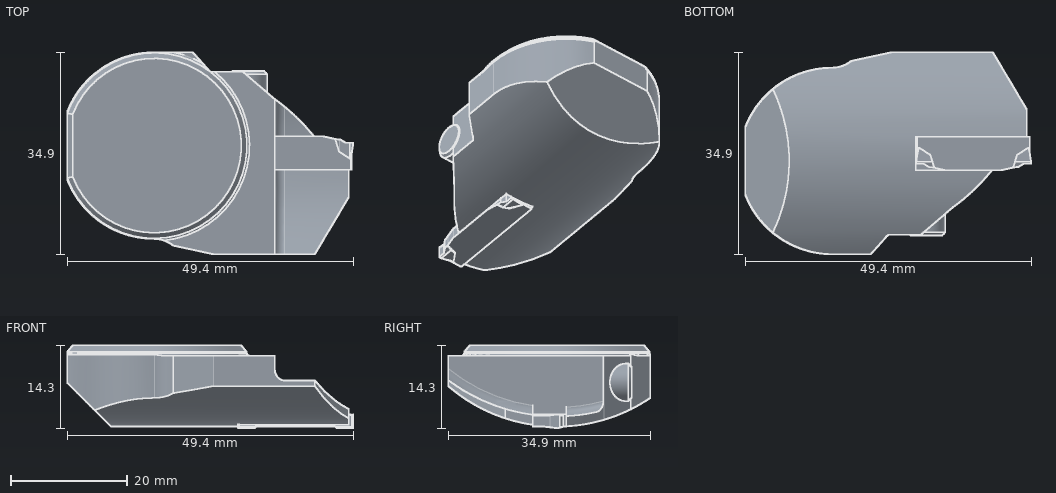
import cadquery as cq
import math


body_radius = 16.1
disc_radius = 16.0
disc_height = 1.8
disc_chamfer_width = 0.97
disc_chamfer_height = 1.15
disc_root_fillet = 0.45
flat_x = -15.0

bottom_z = -12.25
bottom_radius = 28.6
bottom_axis_z = bottom_z + bottom_radius

wing_end_x = 6.65
pad_back_y = 12.75
pad_back_start_x = 9.65
pad_back_end_x = 15.25
relief_start = (20.75, 8.05)
relief_middle = (24.65, 4.8)
relief_end_x = 27.55
nose_x = 33.55
nose_front_y = -8.9
front_y = -18.75
front_start_x = 10.2
front_end_x = 27.7
neck_end = (3.3, -17.25)

slope_angle = 45.0
slope_start_z = -4.65

step_x = 20.8
floor_radius = 31.35
floor_low_z = -10.47
floor_axis_z = floor_low_z + floor_radius
step_fillet = 1.6

boss_radius = 3.25
boss_x = 16.25
boss_z = -4.6
boss_start_y = 5.0
boss_end_y = 12.87
boss_chamfer = 0.55

insert_back_y = 1.63
insert_front_y = -4.2
insert_top_z = -10.13
insert_bottom_z = bottom_z
insert_tip_x = 34.35
insert_tip_y = 0.5
insert_end_x = 34.1
insert_length = 19.9
insert_middle_x = insert_tip_x - insert_length / 2
end_straight_y = -1.2
tooth_root = (32.1, 1.05)
tooth_corner = (33.0, insert_tip_y)
shoulder_end = (31.2, 1.15)
shoulder_start_x = 29.1
tooth_inner = (31.87, -1.05)
tooth_front = (33.85, -2.3)
tooth_ridge_y = 0.1
rake_floor_end_x = 33.75
tooth_rake_depth = 0.2
tooth_drop = 0.28
end_chamfer = 0.25

clearance_past_part = 10.0


def holder_outline():
    """Plan outline of the holder, counterclockwise from the rear end of the flat."""
    flat_half_length = math.sqrt(body_radius**2 - flat_x**2)
    arc_middle = body_radius * math.sqrt(0.5)
    return (
        cq.Workplane("XY")
        .moveTo(flat_x, flat_half_length)
        .lineTo(flat_x, -flat_half_length)
        .threePointArc((-arc_middle, -arc_middle), (0, -body_radius))
        .tangentArcPoint(neck_end, relative=False)
        .lineTo(front_start_x, front_y)
        .lineTo(front_end_x, front_y)
        .lineTo(nose_x, nose_front_y)
        .lineTo(nose_x, insert_back_y)
        .lineTo(relief_end_x, insert_back_y)
        .threePointArc(relief_middle, relief_start)
        .lineTo(pad_back_end_x, pad_back_y)
        .lineTo(pad_back_start_x, pad_back_y)
        .lineTo(wing_end_x, body_radius)
        .lineTo(0, body_radius)
        .threePointArc((-arc_middle, arc_middle), (flat_x, flat_half_length))
        .close()
    )


def cylinder_along_x(radius, axis_z, start_x, length):
    """Solid cylinder whose axis lies along X in the plane Y = 0."""
    return (
        cq.Workplane("YZ", origin=(start_x, 0, axis_z))
        .circle(radius)
        .extrude(length)
    )


def disc():
    """Chamfered disc with a filleted root, trimmed to the holder outline and the flat."""
    top_radius = disc_radius - disc_chamfer_width
    root_radius = disc_radius + disc_root_fillet
    root_sag = disc_root_fillet * (1 - math.sqrt(0.5))
    turned = (
        cq.Workplane("XZ")
        .lineTo(root_radius, 0)
        .threePointArc((disc_radius + root_sag, root_sag), (disc_radius, disc_root_fillet))
        .lineTo(disc_radius, disc_height - disc_chamfer_height)
        .lineTo(top_radius, disc_height)
        .lineTo(0, disc_height)
        .close()
        .revolve(360, (0, 0, 0), (0, 1, 0))
    )
    flat_chamfer = (
        cq.Workplane("XZ", origin=(0, disc_radius, 0))
        .moveTo(flat_x, disc_height - disc_chamfer_height)
        .lineTo(flat_x + disc_chamfer_width, disc_height)
        .lineTo(flat_x, disc_height)
        .close()
        .extrude(2 * disc_radius)
    )
    return turned.intersect(holder_outline().extrude(disc_height)).cut(flat_chamfer)


def slope_cutter():
    """Wedge below the sloped underside."""
    drop = slope_start_z - bottom_z + clearance_past_part
    run = drop / math.tan(math.radians(slope_angle))
    return (
        cq.Workplane("XZ", origin=(0, body_radius, 0))
        .moveTo(flat_x, slope_start_z)
        .lineTo(flat_x, slope_start_z - drop)
        .lineTo(flat_x + run, slope_start_z - drop)
        .close()
        .extrude(2 * body_radius)
    )


def floor_cutter():
    """Cylinder that hollows the nose floor, rounded where it meets the step."""
    length = nose_x + clearance_past_part - step_x
    cutter = cylinder_along_x(floor_radius, floor_axis_z, step_x, length)
    return cutter.faces("<X").edges().fillet(step_fillet)


def boss():
    """Round boss with a chamfered end, running from inside the holder out to its back face."""
    return (
        cq.Workplane("XZ", origin=(boss_x, boss_end_y, boss_z))
        .circle(boss_radius)
        .extrude(boss_end_y - boss_start_y)
        .faces(">Y")
        .chamfer(boss_chamfer)
    )


def slot_block(start_x, low_z, high_z):
    """Block as wide as the insert, running out past the nose."""
    return cq.Workplane("XY").box(
        nose_x + clearance_past_part - start_x,
        insert_back_y - insert_front_y,
        high_z - low_z,
        centered=False,
    ).translate((start_x, insert_front_y, low_z))


def make_holder():
    """Holder with its disc, boss, hollow nose floor and insert seat."""
    blank = holder_outline().extrude(bottom_z)
    underside = cylinder_along_x(
        bottom_radius, bottom_axis_z, flat_x, nose_x - flat_x
    )
    body = blank.intersect(underside).cut(slope_cutter())
    body = body.cut(floor_cutter()).union(boss()).union(disc())
    seat = slot_block(insert_tip_x - insert_length, bottom_z, insert_top_z)
    seat_opening = slot_block(step_x, insert_top_z, disc_height)
    return body.cut(seat).cut(seat_opening)


def tooth(low_z, height):
    """Prism over the cutting tooth at the nose end."""
    return (
        cq.Workplane("XY", origin=(0, 0, low_z))
        .polyline([
            tooth_root,
            shoulder_end,
            tooth_inner,
            tooth_front,
            (insert_end_x, end_straight_y),
            (insert_tip_x, insert_tip_y),
            tooth_corner,
        ])
        .close()
        .extrude(height)
    )


def rake_pocket_cutter():
    """Shallow chip pocket on the tooth, ramped down from the shoulder and up to the tip."""
    floor_z = insert_top_z - tooth_rake_depth
    pocket = (
        cq.Workplane("XZ", origin=(0, insert_back_y, 0))
        .moveTo(shoulder_end[0], insert_top_z)
        .lineTo(tooth_inner[0], floor_z)
        .lineTo(rake_floor_end_x, floor_z)
        .lineTo(insert_tip_x, insert_top_z)
        .close()
        .extrude(insert_back_y - insert_front_y)
    )
    return pocket.intersect(tooth(floor_z, tooth_rake_depth))


def tooth_ridge():
    """Low ridge along X that the tooth forms below the insert."""
    ridge = (
        cq.Workplane("YZ", origin=(shoulder_end[0], 0, insert_bottom_z))
        .moveTo(shoulder_end[1], 0)
        .lineTo(tooth_ridge_y, -tooth_drop)
        .lineTo(tooth_front[1], 0)
        .close()
        .extrude(insert_tip_x - shoulder_end[0])
    )
    return ridge.intersect(tooth(insert_bottom_z - tooth_drop, tooth_drop))


def end_chamfer_cutter():
    """Wedge that breaks the straight top edge at the insert's end."""
    return (
        cq.Workplane("XZ", origin=(0, end_straight_y, 0))
        .moveTo(insert_end_x, insert_top_z)
        .lineTo(insert_end_x - end_chamfer, insert_top_z)
        .lineTo(insert_end_x, insert_top_z - end_chamfer)
        .close()
        .extrude(end_straight_y - insert_front_y)
    )


def make_insert():
    """Insert built as its nose half, then mirrored to the other end."""
    half = (
        cq.Workplane("XY", origin=(0, 0, insert_bottom_z))
        .polyline([
            (insert_middle_x, insert_front_y),
            (insert_end_x, insert_front_y),
            (insert_end_x, end_straight_y),
            (insert_tip_x, insert_tip_y),
            tooth_corner,
            tooth_root,
            shoulder_end,
            (shoulder_start_x, insert_back_y),
            (insert_middle_x, insert_back_y),
        ])
        .close()
        .extrude(insert_top_z - insert_bottom_z)
    )
    half = half.cut(rake_pocket_cutter())
    half = half.cut(end_chamfer_cutter()).union(tooth_ridge())
    return half.union(half.mirror("YZ", (insert_middle_x, 0, 0)))


holder = make_holder()
insert = make_insert()

result = cq.Compound.makeCompound([holder.solids().val(), insert.solids().val()])